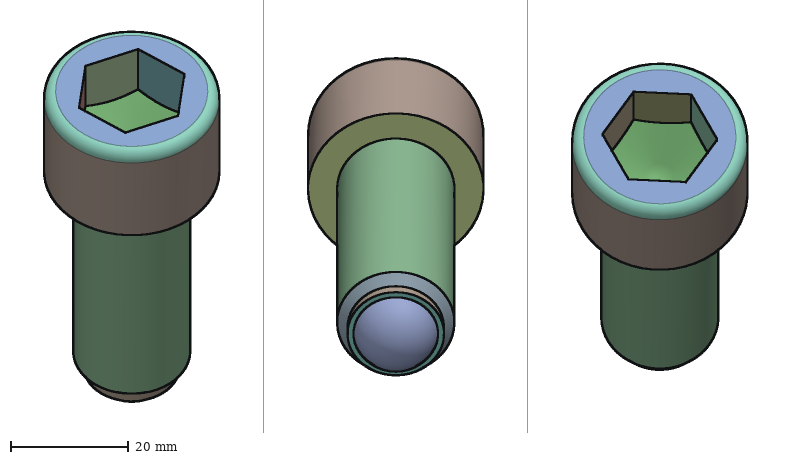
import cadquery as cq
import math

total_length = 74.2

head_diameter = 30.0
head_height = 20.0
head_fillet = 2.0
shank_diameter = 20.0
chamfer = 1.8
collar_height = 2.0
collar_diameter = shank_diameter - 2 * chamfer

socket_across_flats = 17.0
socket_corner_depth = 10.0
socket_cone_angle = 120.0
socket_corner_radius = socket_across_flats / math.sqrt(3)
socket_cone_height = socket_corner_radius / math.tan(math.radians(socket_cone_angle / 2))

ball_diameter = 15.0
ball_radius = ball_diameter / 2
ball_projection = 5.5

collar_bottom = ball_projection
shank_bottom = collar_bottom + collar_height + chamfer
head_bottom = total_length - head_height


def make_ball():
    """Full ball whose lowest point lies at Z = 0."""
    return cq.Workplane("XY").sphere(ball_radius).translate((0, 0, ball_radius))


def make_screw_blank():
    """Turned screw with a rounded head, chamfered shank end and collar."""
    head_radius = head_diameter / 2
    shank_radius = shank_diameter / 2
    collar_radius = collar_diameter / 2
    profile = (
        cq.Workplane("XZ")
        .moveTo(0, collar_bottom)
        .lineTo(collar_radius, collar_bottom)
        .lineTo(collar_radius, collar_bottom + collar_height)
        .lineTo(shank_radius, shank_bottom)
        .lineTo(shank_radius, head_bottom)
        .lineTo(head_radius, head_bottom)
        .lineTo(head_radius, total_length)
        .lineTo(0, total_length)
        .close()
    )
    blank = profile.revolve(360, (0, 0, 0), (0, 1, 0))
    return blank.faces(">Z").edges().fillet(head_fillet)


def make_socket():
    """Hexagonal prism trimmed below by a cone through its lower corners."""
    corner_level = total_length - socket_corner_depth
    tip_level = corner_level - socket_cone_height
    hexagon = (
        cq.Workplane("XY")
        .workplane(offset=tip_level)
        .polygon(6, 2 * socket_corner_radius)
        .extrude(total_length - tip_level)
    )
    pointed_cylinder = (
        cq.Workplane("XZ")
        .moveTo(0, tip_level)
        .lineTo(socket_corner_radius, corner_level)
        .lineTo(socket_corner_radius, total_length)
        .lineTo(0, total_length)
        .close()
        .revolve(360, (0, 0, 0), (0, 1, 0))
    )
    return hexagon.intersect(pointed_cylinder)


ball = make_ball()

screw = make_screw_blank().cut(make_socket()).cut(ball)

result = cq.Compound.makeCompound([screw.val(), ball.val()])